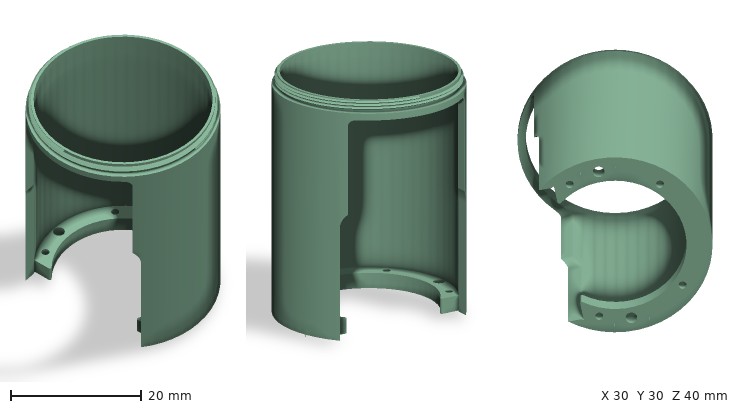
import cadquery as cq
import math

body_diameter = 30.0
bore_diameter = 27.5
neck_diameter = 28.4
body_height = 37.1
neck_height = 1.9

thread_pitch = 0.5
thread_runout = 0.3
thread_turns = 2.75
thread_depth = 0.35
thread_root_width = 0.45
thread_overlap = 0.05
thread_start = body_height + thread_runout
thread_length = thread_turns * thread_pitch

window_top = 36.0
window_half_width = 10.6
window_corner_radius = 1.0
lower_half_width = 11.5
shoulder_top = 20.55
shoulder_radius = 3.4

ledge_height = 2.5
ledge_inner_diameter = 22.0
ledge_end_y = -7.25
ledge_tip_radius = 0.3

screw_hole_diameter = 1.25
screw_circle_radius = 12.5
screw_angles = (45.0, 135.0, 202.6, 337.4)
large_hole_diameter = 1.8
large_hole_x = 12.75

pin_diameter = 0.1
pin_length = 1.0
pin_x = 13.25
pin_y = 2.7


def cylinder(diameter, bottom, height):
    return cq.Workplane("XY").workplane(offset=bottom).circle(diameter / 2).extrude(height)


def make_tube():
    """Body and neck with a common bore."""
    body = cylinder(body_diameter, 0, body_height)
    neck = cylinder(neck_diameter, body_height, neck_height)
    return body.union(neck).cut(cylinder(bore_diameter, 0, body_height + neck_height))


def make_thread():
    """Helical V-shaped ridge, slightly sunk into the neck."""
    root_radius = neck_diameter / 2 - thread_overlap
    crest_radius = neck_diameter / 2 + thread_depth
    helix = cq.Wire.makeHelix(thread_pitch, thread_length, root_radius)
    ridge = (
        cq.Workplane("XZ")
        .moveTo(root_radius, -thread_root_width / 2)
        .lineTo(crest_radius, 0)
        .lineTo(root_radius, thread_root_width / 2)
        .close()
        .sweep(cq.Workplane(helix), isFrenet=True)
    )
    return ridge.translate((0, 0, thread_start))


def make_window():
    """Cutter for the window, with round shoulders where it widens downwards."""
    step = lower_half_width - window_half_width
    shoulder_drop = math.sqrt(shoulder_radius**2 - (shoulder_radius - step) ** 2)
    shoulder_bottom = shoulder_top - shoulder_drop
    upper = (
        cq.Workplane("XZ")
        .center(0, window_top / 2)
        .rect(2 * window_half_width, window_top)
        .extrude(body_diameter)
        .edges("|Y and >Z")
        .fillet(window_corner_radius)
    )
    lower = (
        cq.Workplane("XZ")
        .moveTo(-lower_half_width, 0)
        .lineTo(lower_half_width, 0)
        .lineTo(lower_half_width, shoulder_bottom)
        .radiusArc((window_half_width, shoulder_top), -shoulder_radius)
        .lineTo(-window_half_width, shoulder_top)
        .radiusArc((-lower_half_width, shoulder_bottom), -shoulder_radius)
        .close()
        .extrude(body_diameter)
    )
    return upper.union(lower)


def make_ledge():
    """Open ring with rounded inner tips and its holes."""
    middle_diameter = (body_diameter + bore_diameter) / 2
    ring = cylinder(middle_diameter, 0, ledge_height).cut(
        cylinder(ledge_inner_diameter, 0, ledge_height)
    )
    front = cq.Workplane("XY").box(
        body_diameter, body_diameter, ledge_height, centered=(True, False, False)
    ).translate((0, ledge_end_y - body_diameter, 0))
    ring = ring.cut(front)
    tip_x = math.sqrt((ledge_inner_diameter / 2) ** 2 - ledge_end_y**2)
    for x in (-tip_x, tip_x):
        tip = cq.selectors.NearestToPointSelector((x, ledge_end_y, ledge_height / 2))
        ring = ring.edges("|Z").edges(tip).fillet(ledge_tip_radius)

    screw_points = [
        (
            screw_circle_radius * math.cos(math.radians(angle)),
            screw_circle_radius * math.sin(math.radians(angle)),
        )
        for angle in screw_angles
    ]
    large_points = [(-large_hole_x, 0), (large_hole_x, 0)]
    for points, diameter in (
        (screw_points, screw_hole_diameter),
        (large_points, large_hole_diameter),
    ):
        holes = cq.Workplane("XY").pushPoints(points).circle(diameter / 2).extrude(ledge_height)
        ring = ring.cut(holes)
    return ring


def make_pins():
    """Four pins rooted in the ledge and reaching below the body."""
    points = [(x, y) for x in (-pin_x, pin_x) for y in (-pin_y, pin_y)]
    return (
        cq.Workplane("XY")
        .workplane(offset=-pin_length)
        .pushPoints(points)
        .circle(pin_diameter / 2)
        .extrude(pin_length + ledge_height / 2)
    )


tube = make_tube().union(make_thread()).cut(make_window())
result = tube.union(make_ledge()).union(make_pins())